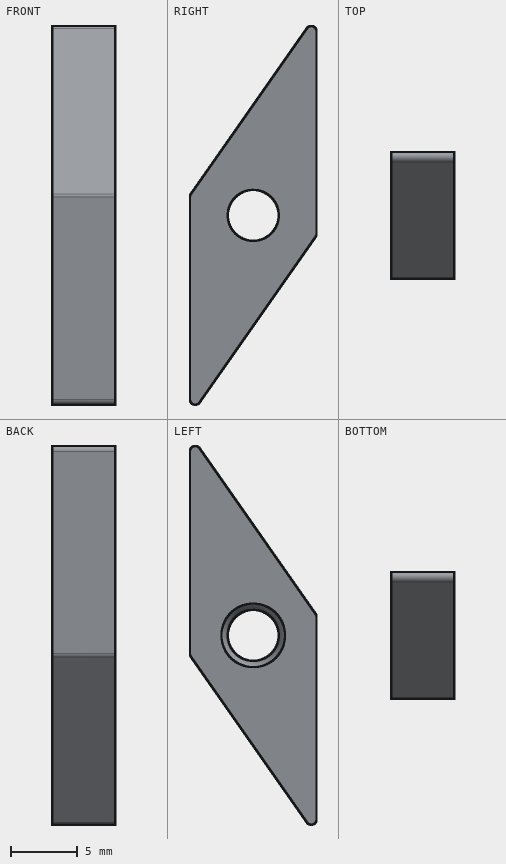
import cadquery as cq
import math

length = 28.45
width = 9.53
thickness = 4.75
tip_angle = math.radians(35)
bore_diameter = 3.8
mouth_diameter = 4.78
mouth_depth = 0.3
flare_depth = 1.37

side = width / math.sin(tip_angle)
sharp_length = side * (1 + math.cos(tip_angle))

trim_per_radius = 1 / math.tan(tip_angle / 2) - 1
corner_radius = (sharp_length - length) / 2 / trim_per_radius


def make_body():
    half_width = width / 2
    tip_z = sharp_length / 2
    blunt_z = tip_z - side
    return (
        cq.Workplane("YZ")
        .polyline([
            (half_width, tip_z),
            (half_width, blunt_z),
            (-half_width, -tip_z),
            (-half_width, -blunt_z),
        ])
        .close()
        .extrude(thickness / 2, both=True)
        .edges("|X")
        .fillet(corner_radius)
    )


def make_bore():
    """Through hole along X, with a short straight mouth and a rounded flare on the -X face."""
    bore_radius = bore_diameter / 2
    mouth_radius = mouth_diameter / 2
    face_x = -thickness / 2
    flare_start_x = face_x + mouth_depth
    flare_end_x = flare_start_x + flare_depth
    flare = mouth_radius - bore_radius
    arc_radius = (flare**2 + flare_depth**2) / (2 * flare)
    half_sweep = math.asin(flare_depth / arc_radius) / 2
    arc_middle = (
        flare_end_x - arc_radius * math.sin(half_sweep),
        bore_radius + arc_radius * (1 - math.cos(half_sweep)),
    )
    return (
        cq.Workplane("XY")
        .moveTo(face_x, 0)
        .lineTo(face_x, mouth_radius)
        .lineTo(flare_start_x, mouth_radius)
        .threePointArc(arc_middle, (flare_end_x, bore_radius))
        .lineTo(thickness / 2, bore_radius)
        .lineTo(thickness / 2, 0)
        .close()
        .revolve(360, (0, 0, 0), (1, 0, 0))
    )


result = make_body().cut(make_bore())